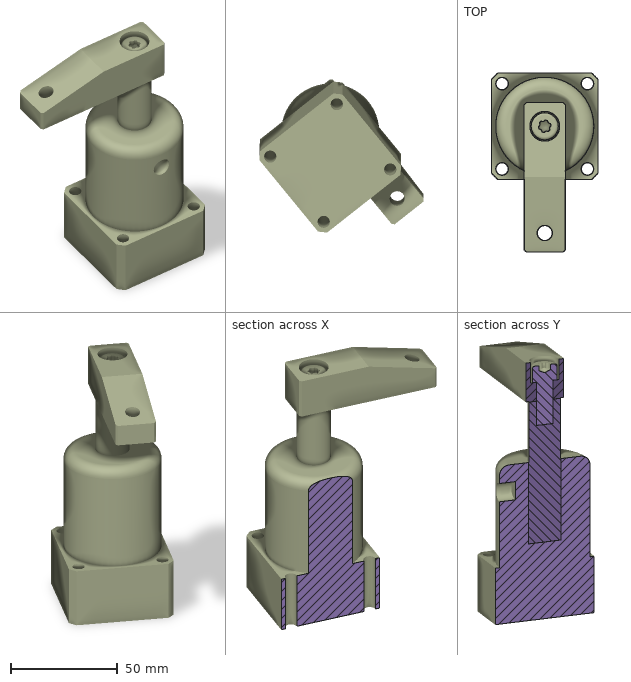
import cadquery as cq

TOTAL_HEIGHT = 127.0

BASE_SIDE = 50.0
BASE_HEIGHT = 28.0
BASE_CHAMFER = 3.0
MOUNT_HOLE_PITCH = 40.0
MOUNT_HOLE_DIA = 5.7
BARREL_DIA = 46.0
BARREL_TOP = 78.0
BARREL_FILLET = 5.0
PORT_DIA = 8.8
PORT_HEIGHT = 64.8
PORT_DEPTH = 8.0

ARM_WIDTH = 19.3
ARM_HEIGHT = 19.3
ARM_BACK = 11.0
ARM_LENGTH = 70.0
ARM_FLAT_LENGTH = ARM_LENGTH / 2
ARM_TIP_HEIGHT = 10.0
ARM_CHAMFER = 1.0
TIP_HOLE_DIA = 7.0
TIP_HOLE_REACH = 50.0
ARM_BOTTOM = TOTAL_HEIGHT - ARM_HEIGHT

ROD_DIA = 16.0
ROD_LENGTH_IN_HOUSING = 40.0
ROD_BOTTOM = BARREL_TOP - ROD_LENGTH_IN_HOUSING

HEAD_DIA = 12.7
HEAD_HEIGHT = 8.0
HEAD_FILLET = 1.3
HEAD_RECESS = 2.0
COUNTERBORE_DIA = 14.0
SHANK_DIA = 8.0
THREAD_ENGAGEMENT = 12.0
HEAD_TOP = TOTAL_HEIGHT - HEAD_RECESS
HEAD_BOTTOM = HEAD_TOP - HEAD_HEIGHT
SHANK_BOTTOM = ARM_BOTTOM - THREAD_ENGAGEMENT

LOBE_COUNT = 6
LOBE_TIP_RADIUS = 2.9
LOBE_VALLEY_RADIUS = 2.4
SCALLOP_RADIUS = 1.3
FIRST_VALLEY_ANGLE = 45.0
SOCKET_DEPTH = 2.5
SOCKET_CONE_DEPTH = 1.3


def cylinder(diameter, bottom, top):
    """Solid cylinder on the Z axis between two heights."""
    return cq.Workplane("XY").workplane(offset=bottom).circle(diameter / 2).extrude(top - bottom)


def make_housing():
    base = cq.Workplane("XY").rect(BASE_SIDE, BASE_SIDE).extrude(BASE_HEIGHT)
    base = base.edges("|Z").chamfer(BASE_CHAMFER)
    mount_holes = (
        cq.Workplane("XY")
        .rect(MOUNT_HOLE_PITCH, MOUNT_HOLE_PITCH, forConstruction=True)
        .vertices()
        .circle(MOUNT_HOLE_DIA / 2)
        .extrude(BASE_HEIGHT)
    )
    barrel = cylinder(BARREL_DIA, BASE_HEIGHT, BARREL_TOP).faces(">Z").edges().fillet(BARREL_FILLET)
    rod_bore = cylinder(ROD_DIA, ROD_BOTTOM, BARREL_TOP)
    port = (
        cq.Workplane("YZ")
        .workplane(offset=BARREL_DIA / 2 - PORT_DEPTH)
        .center(0, PORT_HEIGHT)
        .circle(PORT_DIA / 2)
        .extrude(PORT_DEPTH)
    )
    return base.cut(mount_holes).union(barrel).cut(rod_bore).cut(port)


def make_rod():
    rod = cylinder(ROD_DIA, ROD_BOTTOM, ARM_BOTTOM)
    return rod.cut(cylinder(SHANK_DIA, SHANK_BOTTOM, ARM_BOTTOM))


def make_arm():
    tip_y = ARM_BACK - ARM_LENGTH
    slope_y = ARM_BACK - ARM_FLAT_LENGTH
    arm = (
        cq.Workplane("YZ")
        .moveTo(ARM_BACK, ARM_BOTTOM)
        .lineTo(ARM_BACK, TOTAL_HEIGHT)
        .lineTo(slope_y, TOTAL_HEIGHT)
        .lineTo(tip_y, ARM_BOTTOM + ARM_TIP_HEIGHT)
        .lineTo(tip_y, ARM_BOTTOM)
        .close()
        .extrude(ARM_WIDTH / 2, both=True)
    )
    arm = arm.edges("|Z").chamfer(ARM_CHAMFER)
    tip_hole = cylinder(TIP_HOLE_DIA, ARM_BOTTOM, TOTAL_HEIGHT).translate((0, -TIP_HOLE_REACH, 0))
    shank_hole = cylinder(SHANK_DIA, ARM_BOTTOM, HEAD_BOTTOM)
    counterbore = cylinder(COUNTERBORE_DIA, HEAD_BOTTOM, TOTAL_HEIGHT)
    return arm.cut(tip_hole).cut(shank_hole).cut(counterbore)


def make_socket():
    """Solid in the shape of the socket: a round, cone-ended plug scalloped between its lobes."""
    cone_top = HEAD_TOP - SOCKET_DEPTH
    cone_tip = cone_top - SOCKET_CONE_DEPTH
    cone = cq.Solid.makeCone(
        LOBE_TIP_RADIUS, 0, SOCKET_CONE_DEPTH, cq.Vector(0, 0, cone_top), cq.Vector(0, 0, -1)
    )
    socket = cylinder(2 * LOBE_TIP_RADIUS, cone_top, HEAD_TOP).union(cq.Workplane(cone))
    scallops = (
        cq.Workplane("XY")
        .workplane(offset=cone_tip)
        .polarArray(LOBE_VALLEY_RADIUS + SCALLOP_RADIUS, FIRST_VALLEY_ANGLE, 360, LOBE_COUNT)
        .circle(SCALLOP_RADIUS)
        .extrude(HEAD_TOP - cone_tip)
    )
    return socket.cut(scallops)


def make_screw():
    head = cylinder(HEAD_DIA, HEAD_BOTTOM, HEAD_TOP).faces(">Z").edges().fillet(HEAD_FILLET)
    shank = cylinder(SHANK_DIA, SHANK_BOTTOM, HEAD_BOTTOM)
    return head.union(shank).cut(make_socket())


housing = make_housing()
rod = make_rod()
arm = make_arm()
screw = make_screw()
result = cq.Compound.makeCompound([body.solids().val() for body in (housing, rod, arm, screw)])